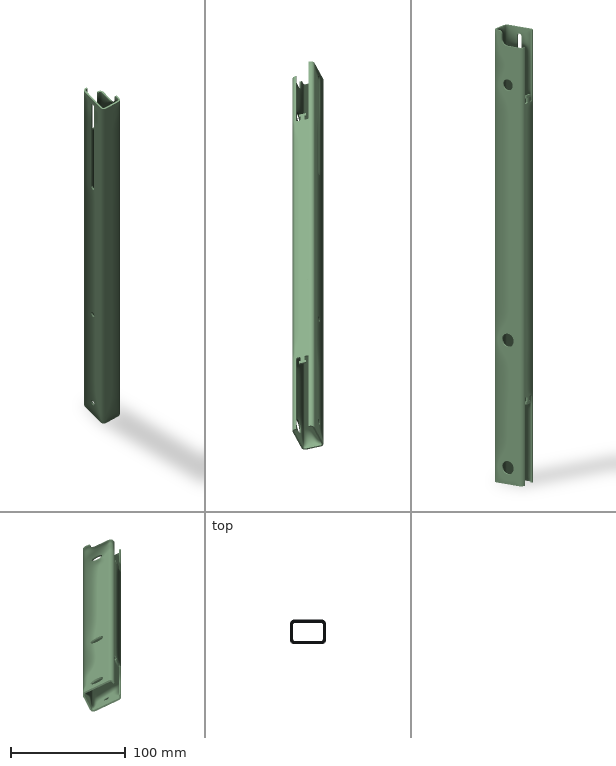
import cadquery as cq

WIDTH = 30.0
DEPTH = 20.0
LENGTH = 408.5
WALL = 1.5
CORNER_RADIUS = 3.5
BORE_RADIUS = 1.5
OVERCUT = 1.0

SLOT_WIDTH = 4.5
SLOT_TOP_GAP = 6.0
SLOT_LENGTH = 110.0
FASTENER_DIAMETER = 5.0
FASTENER_HEIGHTS = (15.0, 130.0)

SLOT_ACCESS_DIAMETER = 10.0
FASTENER_ACCESS_DIAMETER = 12.0
SLOT_ACCESS_BELOW_TOP = 48.0

WINDOW_WIDTH = 11.5
TOP_WINDOW_LENGTH = 64.0
BOTTOM_WINDOW_LENGTH = 79.5
WINDOW_CUT_DEPTH = 2 * WALL
WINDOW_FILLET = 1.0
TAB_LENGTH = 7.0
TAB_HEAD_WIDTH = 6.5
TAB_HEAD_LENGTH = 2.5
TAB_NECK_WIDTH = 3.5

STEP_DEPTH = 13.0
STEP_X = 6.5
STEP_UPPER_RADIUS = 3.0
STEP_LOWER_RADIUS = 6.0


def tube():
    outer = cq.Workplane("XY").rect(WIDTH, DEPTH).extrude(LENGTH).edges("|Z").fillet(CORNER_RADIUS)
    bore = cq.Workplane("XY").rect(WIDTH - 2 * WALL, DEPTH - 2 * WALL).extrude(LENGTH)
    return outer.cut(bore.edges("|Z").fillet(BORE_RADIUS))


def front_slot():
    """Vertical slot cutter through the -Y wall only."""
    centre_z = LENGTH - SLOT_TOP_GAP - SLOT_LENGTH / 2
    plane = cq.Workplane("XZ", origin=(0, 0, centre_z))
    return plane.slot2D(SLOT_LENGTH, SLOT_WIDTH, 90).extrude(DEPTH / 2 + OVERCUT)


def round_hole(diameter, height, side):
    """Hole cutter from mid-depth out through the -Y (side = -1) or +Y (side = 1) wall."""
    plane = cq.Workplane("XZ", origin=(0, 0, height))
    return plane.circle(diameter / 2).extrude(-side * (DEPTH / 2 + OVERCUT))


def tab_window(length):
    """Cutter for the -X wall, open below Z = 0, leaving a tab at its closed end."""
    half_window = WINDOW_WIDTH / 2
    half_head = TAB_HEAD_WIDTH / 2
    half_neck = TAB_NECK_WIDTH / 2
    tab_end = length - TAB_LENGTH
    shoulder = tab_end + TAB_HEAD_LENGTH
    right_half = [
        (half_neck, length),
        (half_neck, shoulder),
        (half_head, shoulder),
        (half_head, tab_end),
    ]
    left_half = [(-y, z) for y, z in reversed(right_half)]
    outline = [
        (-half_window, -OVERCUT),
        (half_window, -OVERCUT),
        (half_window, length),
        *right_half,
        *left_half,
        (-half_window, length),
    ]
    plane = cq.Workplane("YZ", origin=(-WIDTH / 2 - OVERCUT, 0, 0))
    cutter = plane.polyline(outline).close().extrude(WINDOW_CUT_DEPTH + OVERCUT)
    closed_end = cq.selectors.BoxSelector(
        (-WIDTH, -DEPTH, length - OVERCUT / 2),
        (WIDTH, DEPTH, length + OVERCUT / 2),
    )
    return cutter.edges("|X").edges(closed_end).fillet(WINDOW_FILLET)


def top_step():
    """Cutter that removes the top of the +Y wall and its -X corner along an S-shaped edge."""
    low = LENGTH - STEP_DEPTH
    left = -WIDTH / 2 - OVERCUT
    round_top_x = STEP_X + STEP_UPPER_RADIUS
    plane = cq.Workplane("XZ")
    outline = (
        plane.moveTo(left, low)
        .lineTo(STEP_X - STEP_LOWER_RADIUS, low)
        .radiusArc((STEP_X, low + STEP_LOWER_RADIUS), -STEP_LOWER_RADIUS)
        .lineTo(STEP_X, LENGTH - STEP_UPPER_RADIUS)
        .radiusArc((round_top_x, LENGTH), STEP_UPPER_RADIUS)
        .lineTo(round_top_x, LENGTH + OVERCUT)
        .lineTo(left, LENGTH + OVERCUT)
        .close()
    )
    return outline.extrude(-(DEPTH / 2 + OVERCUT))


bottom_window = tab_window(BOTTOM_WINDOW_LENGTH)
top_window = tab_window(TOP_WINDOW_LENGTH).mirror("XY").translate((0, 0, LENGTH))

result = tube().cut(front_slot()).cut(bottom_window).cut(top_window).cut(top_step())
for height in FASTENER_HEIGHTS:
    result = result.cut(round_hole(FASTENER_DIAMETER, height, -1))
    result = result.cut(round_hole(FASTENER_ACCESS_DIAMETER, height, 1))
result = result.cut(round_hole(SLOT_ACCESS_DIAMETER, LENGTH - SLOT_ACCESS_BELOW_TOP, 1))